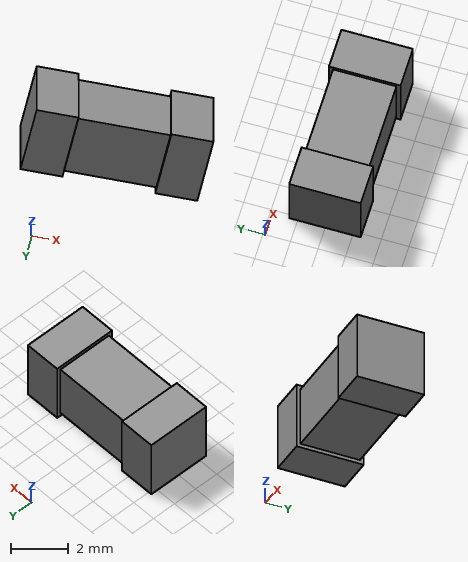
import cadquery as cq

total_length = 6.3
cap_side = 2.6
cap_length = 1.5
cap_step = 0.15

body_side = cap_side - 2 * cap_step
body_length = total_length - 2 * cap_length
cap_offset = (total_length - cap_length) / 2


def end_cap(center_x):
    """Square end cap centred on the X axis."""
    return cq.Workplane("XY").box(cap_length, cap_side, cap_side).translate((center_x, 0, 0))


result = cq.Workplane("XY").box(body_length, body_side, body_side)

for center_x in (-cap_offset, cap_offset):
    result = result.union(end_cap(center_x))